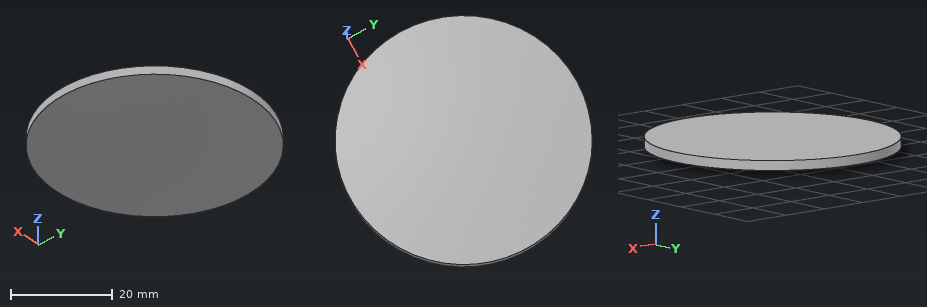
import cadquery as cq

diameter = 50.8
centre_thickness = 5.0
rim_thickness = 2.05

radius = diameter / 2
half_centre = centre_thickness / 2
half_rim = rim_thickness / 2
cap_height = half_centre - half_rim
sphere_radius = (radius**2 + cap_height**2) / (2 * cap_height)

mid_radius = radius / 2
sphere_centre = half_centre - sphere_radius
mid_height = sphere_centre + (sphere_radius**2 - mid_radius**2) ** 0.5

half_section = (
    cq.Workplane("YZ")
    .moveTo(0, -half_centre)
    .threePointArc((mid_radius, -mid_height), (radius, -half_rim))
    .lineTo(radius, half_rim)
    .threePointArc((mid_radius, mid_height), (0, half_centre))
    .close()
)
result = half_section.revolve(360, (0, 0), (0, 1))